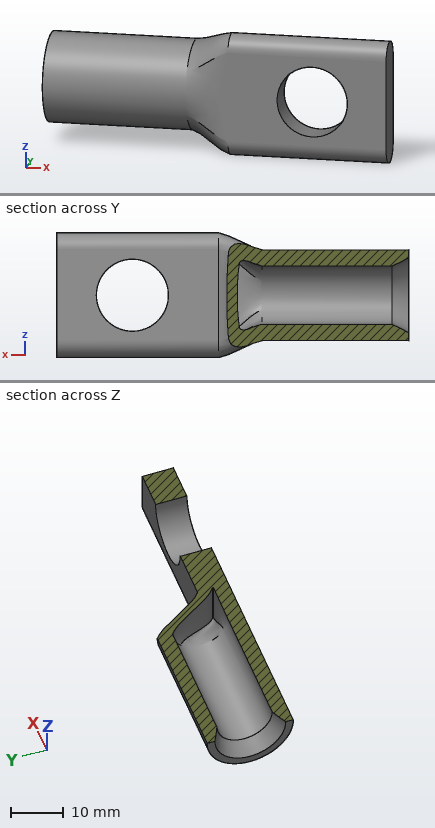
import cadquery as cq
import math

length = 66.55
barrel_length = 27.75
palm_start = 35.95
barrel_diameter = 17.4
palm_width = 23.6
palm_thickness = 6.3
bore_mouth_radius = 7.1
bore_mouth_depth = 3.2
hole_diameter = 13.6
hole_x = 52.25
seam_gap = 0.1
near_split_angle = 30.0
far_split_angle = 45.0
section_count = 6
ease_share = 0.5

barrel_radius = barrel_diameter / 2
wall = palm_thickness / 2
bore_radius = barrel_radius - wall
palm_y = wall - barrel_radius
flat_half_width = palm_width / 2 - wall
transition_length = palm_start - barrel_length


def x_extrusion(profile_radius, start, end):
    """Solid cylinder about the X axis."""
    return cq.Workplane("YZ", origin=(start, 0, 0)).circle(profile_radius).extrude(end - start)


def circle_points(radius):
    """Eight (y, z) points: four corners alternating with four arc midpoints."""
    near = 180 - near_split_angle
    far = far_split_angle
    side = (near + far) / 2
    angles = (near, side, far, 0, -far, -side, -near, 180)
    return [
        (radius * math.cos(math.radians(a)), radius * math.sin(math.radians(a)))
        for a in angles
    ]


def slot_points(half_thickness):
    """The matching eight points on the flattened, round-ended section."""
    low = palm_y - half_thickness
    high = palm_y + half_thickness
    tip = flat_half_width + half_thickness
    return [
        (low, flat_half_width),
        (palm_y, tip),
        (high, flat_half_width),
        (high, 0),
        (high, -flat_half_width),
        (palm_y, -tip),
        (low, -flat_half_width),
        (low, 0),
    ]


def flattening_loft(radius, half_thickness):
    """Solid that turns a circle into a flat slot along the transition."""
    sections = []
    for i in range(section_count):
        t = i / (section_count - 1)
        x = barrel_length + t * transition_length
        eased = t * t * (3 - 2 * t)
        blend = ease_share * eased + (1 - ease_share) * t
        points = [
            cq.Vector(x, y0 + blend * (y1 - y0), z0 + blend * (z1 - z0))
            for (y0, z0), (y1, z1) in zip(circle_points(radius), slot_points(half_thickness))
        ]
        is_flat = i == section_count - 1
        edges = []
        for corner in range(0, len(points), 2):
            start, middle = points[corner], points[corner + 1]
            end = points[(corner + 2) % len(points)]
            if is_flat and corner % 4 == 2:
                edges.append(cq.Edge.makeLine(start, end))
            else:
                edges.append(cq.Edge.makeThreePointArc(start, middle, end))
        sections.append(cq.Wire.assembleEdges(edges))
    return cq.Workplane(cq.Solid.makeLoft(sections))


barrel = x_extrusion(barrel_radius, 0, barrel_length)
palm = (
    cq.Workplane("YZ", origin=(palm_start, palm_y, 0))
    .slot2D(palm_width, palm_thickness, 90)
    .extrude(length - palm_start)
)
body = barrel.union(flattening_loft(barrel_radius, wall)).union(palm)

mouth = cq.Workplane(cq.Solid.makeCone(
    bore_mouth_radius, bore_radius, bore_mouth_depth, cq.Vector(0, 0, 0), cq.Vector(1, 0, 0)
))
bore = x_extrusion(bore_radius, 0, barrel_length)
pinched_end = flattening_loft(bore_radius, seam_gap / 2)

bolt_hole = (
    cq.Workplane("XZ", origin=(hole_x, palm_y, 0))
    .circle(hole_diameter / 2)
    .extrude(palm_thickness, both=True)
)

result = body.cut(bore).cut(pinched_end).cut(mouth).cut(bolt_hole)